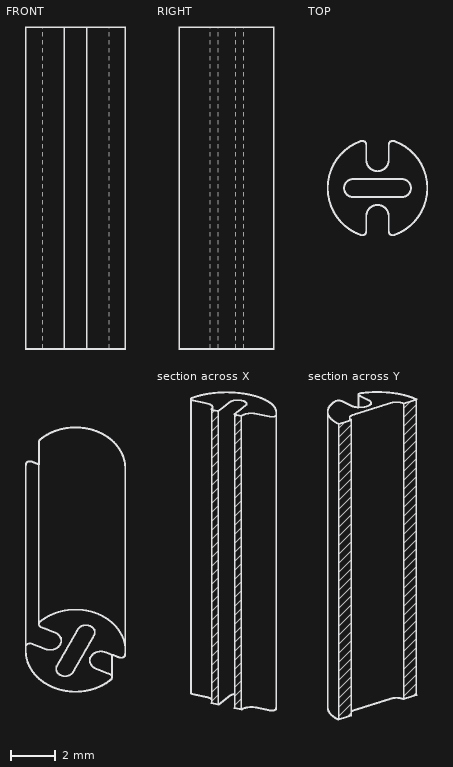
import cadquery as cq

body_diameter = 4.5
body_length = 14.5
groove_width = 1.0
groove_floor_distance = 0.765
lip_radius = 0.19
slot_length = 3.0
slot_width = 0.8

body_radius = body_diameter / 2
groove_radius = groove_width / 2
groove_center_y = groove_floor_distance + groove_radius


def make_body():
    """Plain round bar standing on the XY plane."""
    return cq.Workplane("XY").circle(body_radius).extrude(body_length)


def make_groove(side):
    """Full-length, round-bottomed groove cutter; side is +1 for +Y, -1 for -Y."""
    rounded_floor = (
        cq.Workplane("XY")
        .center(0, side * groove_center_y)
        .circle(groove_radius)
        .extrude(body_length)
    )
    straight_walls = (
        cq.Workplane("XY")
        .center(0, side * (groove_center_y + body_radius / 2))
        .rect(groove_width, body_radius)
        .extrude(body_length)
    )
    return rounded_floor.union(straight_walls)


def round_groove_lips(body, side):
    """Round the two long edges where one groove's walls meet the outside."""
    lip_zone = cq.selectors.BoxSelector(
        (-groove_width, side * (body_radius - groove_radius), 0),
        (groove_width, side * (body_radius + groove_radius), body_length),
    )
    return body.edges("|Z").edges(lip_zone).fillet(lip_radius)


def make_slot():
    """Central round-ended slot cutter through the whole length."""
    return cq.Workplane("XY").slot2D(slot_length, slot_width).extrude(body_length)


result = make_body()
for groove_side in (1, -1):
    result = result.cut(make_groove(groove_side))
    result = round_groove_lips(result, groove_side)
result = result.cut(make_slot())